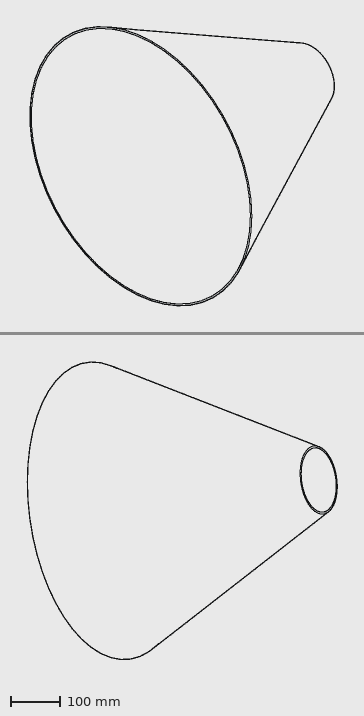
import cadquery as cq

wide_diameter = 609.5
narrow_diameter = 139.5
length = 508.0
wall = 4.0

wide_radius = wide_diameter / 2
narrow_radius = narrow_diameter / 2

wall_section = (
    cq.Workplane("XY")
    .moveTo(wide_radius - wall, 0)
    .lineTo(wide_radius, 0)
    .lineTo(narrow_radius, length)
    .lineTo(narrow_radius - wall, length)
    .close()
)

result = wall_section.revolve(360, (0, 0, 0), (0, 1, 0))